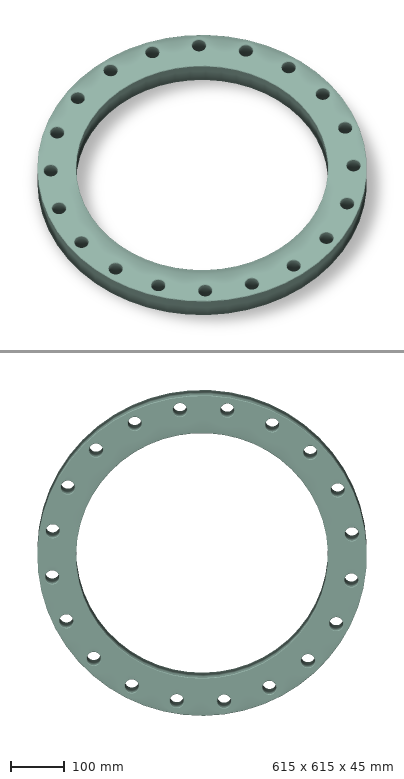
import cadquery as cq

outer_diameter = 615.0
bore_diameter = 470.0
thickness = 45.0

hole_count = 20
hole_diameter = 26.0
bolt_circle_diameter = 565.0

edge_chamfer = 1.0


def make_ring():
    """Flat ring standing on the XY plane."""
    return cq.Workplane("XY").circle(outer_diameter / 2).circle(bore_diameter / 2).extrude(thickness)


def drill_bolt_holes(ring):
    """Through holes evenly spaced on the bolt circle, the first on the +X axis."""
    holes = (
        cq.Workplane("XY")
        .polarArray(bolt_circle_diameter / 2, 0, 360, hole_count)
        .circle(hole_diameter / 2)
        .extrude(thickness)
    )
    return ring.cut(holes)


def break_edges(flange):
    """Chamfer every edge of the two flat faces: outer rim, bore and bolt holes."""
    return flange.faces("|Z").edges().chamfer(edge_chamfer)


result = break_edges(drill_bolt_holes(make_ring()))